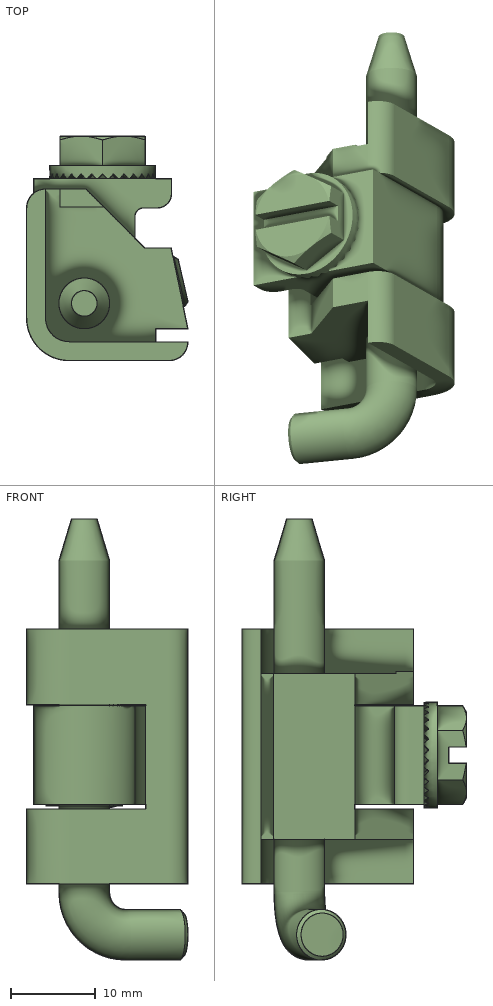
import cadquery as cq
import math


bracket_width = 19.05
bracket_depth = 20.25
bracket_height = 30.05
wall = 2.25
corner_radius = 5.05
floor_depth = 5.25
step_y = 13.3
step_left_x = 13.95
step_right_x = 17.05
groove_left_x = 15.25
groove_width = 1.5
pad_left_x = 3.95
pad_front_y = 18.15
pad_height = 0.2
slot_bottom = 8.85
slot_height = 12.25
slot_right_x = 14.05

pin_x = 6.8
pin_y = 6.75
pin_diameter = 6.0
pin_height = 52.0
tip_length = 4.95
tip_diameter = 3.0
bend_start_z = -1.0
bend_radius = 5.0
handle_length = 6.95
handle_end_diameter = 5.1
handle_turn = 13.0

leaf_left_x = 0.85
neck_width = 11.95
knuckle_y = 6.45
leaf_back_y = 21.5
leaf_bottom = 9.35
leaf_height = 11.65
flange_width = 16.3
flange_thickness = 3.5
flange_tip_radius = 1.7
flange_root_radius = 1.0
boss_diameter = 9.0
boss_height = 0.15

head_across_flats = 10.1
head_top_y = 26.45
head_chamfer_angle = 30.0
washer_diameter = 12.5
washer_thickness = 1.55
tooth_count = 30
tooth_gap_width = 1.05
tooth_gap_depth = 0.5
driver_slot_width = 1.85
driver_slot_depth = 2.1

pin_radius = pin_diameter / 2
pin_bottom = bend_start_z - bend_radius - pin_radius
pin_top = pin_bottom + pin_height
bevel_left_x = step_left_x - (bracket_depth - step_y)
block_top = bracket_height - floor_depth
leaf_mid_z = leaf_bottom + leaf_height / 2
screw_x = leaf_left_x + flange_width / 2


def box(x0, x1, y0, y1, z0, z1):
    """A box between two opposite corners."""
    return cq.Workplane("XY").box(x1 - x0, y1 - y0, z1 - z0, centered=False).translate((x0, y0, z0))


def pin_cylinder(diameter, z0, z1):
    """A cylinder on the hinge axis."""
    return cq.Workplane("XY", origin=(pin_x, pin_y, z0)).circle(diameter / 2).extrude(z1 - z0)



def make_wall():
    """The L-shaped wall, its corner and its two outer tips rounded."""
    diagonal = math.sqrt(0.5)
    corner_mid = corner_radius * (1 - diagonal)
    tip_mid = wall * (1 - diagonal)
    inner_radius = corner_radius - wall
    inner_mid = wall + inner_radius * (1 - diagonal)
    return (
        cq.Workplane("XY")
        .moveTo(corner_radius, 0)
        .lineTo(bracket_width - wall, 0)
        .threePointArc((bracket_width - tip_mid, tip_mid), (bracket_width, wall))
        .lineTo(corner_radius, wall)
        .threePointArc((inner_mid, inner_mid), (wall, corner_radius))
        .lineTo(wall, bracket_depth)
        .threePointArc((tip_mid, bracket_depth - tip_mid), (0, bracket_depth - wall))
        .lineTo(0, corner_radius)
        .threePointArc((corner_mid, corner_mid), (corner_radius, 0))
        .close()
        .extrude(bracket_height)
    )


def make_block(z0, z1):
    """The knuckle block that fills the inside of the wall between two heights."""
    groove_back_y = wall + groove_width
    outline = [
        (wall, wall),
        (groove_left_x, wall),
        (groove_left_x, groove_back_y),
        (bracket_width, groove_back_y),
        (step_right_x, step_y),
        (step_left_x, step_y),
        (bevel_left_x, bracket_depth),
        (wall, bracket_depth),
    ]
    return cq.Workplane("XY", origin=(0, 0, z0)).polyline(outline).close().extrude(z1 - z0)


def make_bracket():
    block = make_block(floor_depth, block_top)
    pad_zone = box(pad_left_x, bracket_width, pad_front_y, bracket_depth, 0, bracket_height)
    pad = make_block(block_top, block_top + pad_height).intersect(pad_zone)
    slot = box(0, slot_right_x, 0, bracket_depth, slot_bottom, slot_bottom + slot_height)
    pin_hole = pin_cylinder(pin_diameter, 0, bracket_height)
    return make_wall().union(block).union(pad).cut(slot).cut(pin_hole)



def make_leaf():
    neck_right_x = leaf_left_x + neck_width
    neck_mid_x = leaf_left_x + neck_width / 2
    knuckle_front_y = knuckle_y - neck_width / 2
    flange_right_x = leaf_left_x + flange_width
    flange_front_y = leaf_back_y - flange_thickness
    plate = (
        cq.Workplane("XY", origin=(0, 0, leaf_bottom))
        .moveTo(leaf_left_x, leaf_back_y)
        .lineTo(leaf_left_x, knuckle_y)
        .threePointArc((neck_mid_x, knuckle_front_y), (neck_right_x, knuckle_y))
        .lineTo(neck_right_x, flange_front_y - flange_root_radius)
        .radiusArc((neck_right_x + flange_root_radius, flange_front_y), flange_root_radius)
        .lineTo(flange_right_x - flange_tip_radius, flange_front_y)
        .radiusArc((flange_right_x, flange_front_y + flange_tip_radius), -flange_tip_radius)
        .lineTo(flange_right_x, leaf_back_y)
        .close()
        .extrude(leaf_height)
    )
    boss_bottom = leaf_bottom - boss_height
    boss = pin_cylinder(boss_diameter, boss_bottom, leaf_bottom)
    pin_hole = pin_cylinder(pin_diameter, boss_bottom, leaf_bottom + leaf_height)
    return plate.union(boss).cut(pin_hole)



def make_pin():
    """A straight pin with a conical tip, bent at the bottom into a chamfered handle."""
    straight_top = pin_top - tip_length
    shaft = pin_cylinder(pin_diameter, bend_start_z, straight_top)
    tip = (
        cq.Workplane("XY", origin=(pin_x, pin_y, straight_top))
        .circle(pin_radius)
        .workplane(offset=tip_length)
        .circle(tip_diameter / 2)
        .loft()
    )
    bend = (
        cq.Workplane("XY", origin=(pin_x, pin_y, bend_start_z))
        .circle(pin_radius)
        .revolve(90, (bend_radius, 0), (bend_radius, -1))
    )
    handle = (
        cq.Workplane("YZ", origin=(pin_x + bend_radius, pin_y, bend_start_z - bend_radius))
        .circle(pin_radius)
        .extrude(handle_length)
        .faces(">X")
        .chamfer((pin_diameter - handle_end_diameter) / 2)
    )
    lever = bend.union(handle).rotate((pin_x, pin_y, 0), (pin_x, pin_y, 1), handle_turn)
    return shaft.union(tip).union(lever)



def screw_plane(y):
    """Sketch plane across the screw axis, facing +Y, its local x pointing up."""
    return cq.Workplane(cq.Plane(origin=(screw_x, y, leaf_mid_z), xDir=(0, 0, 1), normal=(0, 1, 0)))


def make_head():
    """Hexagonal head with corners up and down, a conical top chamfer and a driver slot."""
    washer_top_y = leaf_back_y + washer_thickness
    height = head_top_y - washer_top_y
    across_corners = head_across_flats / math.cos(math.pi / 6)
    hexagon = screw_plane(washer_top_y).polygon(6, across_corners).extrude(height)
    flat_radius = head_across_flats / 2
    chamfer_slope = math.tan(math.radians(head_chamfer_angle))
    cone_height = height + flat_radius * chamfer_slope
    cone_radius = cone_height / chamfer_slope
    cone = cq.Workplane(
        cq.Solid.makeCone(
            cone_radius,
            0,
            cone_height,
            pnt=cq.Vector(screw_x, washer_top_y, leaf_mid_z),
            dir=cq.Vector(0, 1, 0),
        )
    )
    slot = (
        screw_plane(head_top_y - driver_slot_depth)
        .rect(driver_slot_width, across_corners)
        .extrude(driver_slot_depth)
    )
    return hexagon.intersect(cone).cut(slot)


def make_washer():
    """Flange under the head, with radial V gaps around the rim of its leaf side."""
    washer = screw_plane(leaf_back_y).circle(washer_diameter / 2).extrude(washer_thickness)
    rim_width = (washer_diameter - head_across_flats) / 2
    gap = (
        cq.Workplane("XY", origin=(screw_x, leaf_back_y, leaf_mid_z + head_across_flats / 2))
        .polyline([(-tooth_gap_width / 2, 0), (tooth_gap_width / 2, 0), (0, tooth_gap_depth)])
        .close()
        .extrude(rim_width)
    )
    axis_start = (screw_x, 0, leaf_mid_z)
    axis_end = (screw_x, 1, leaf_mid_z)
    for i in range(tooth_count):
        washer = washer.cut(gap.rotate(axis_start, axis_end, i * 360 / tooth_count))
    return washer


def make_screw():
    return make_washer().union(make_head())


bracket = make_bracket()
leaf = make_leaf()
pin = make_pin()
screw = make_screw()

result = cq.Compound.makeCompound([bracket.val(), leaf.val(), pin.val(), screw.val()])